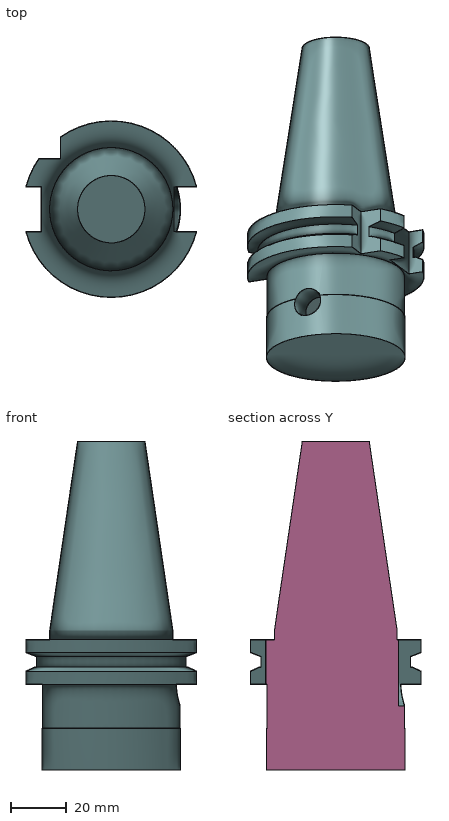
import cadquery as cq

TOTAL_HEIGHT = 118.4
TAPER_TIP_DIAMETER = 24.3
TAPER_DIAMETER = 44.4
TAPER_START = 50.2

FLANGE_DIAMETER = 63.6
FLANGE_BOTTOM = 30.9
FLANGE_TOP = 47.0
GROOVE_DIAMETER = 56.2
GROOVE_FLOOR_WIDTH = 3.8
GROOVE_MOUTH_WIDTH = 6.7
GROOVE_LEDGE = 0.7
GROOVE_CENTER = (FLANGE_BOTTOM + FLANGE_TOP) / 2

BODY_DIAMETER = 49.6
COLLAR_DIAMETER = 50.0
COLLAR_HEIGHT = 15.2
COLLAR_CHAMFER = (COLLAR_DIAMETER - BODY_DIAMETER) / 2

SLOT_WIDTH = 16.1
LEFT_SLOT_FLOOR = 25.2
RIGHT_SLOT_FLOOR = 22.6
RIGHT_SLOT_BOTTOM = 23.2

NOTCH_X = 18.4
NOTCH_Y = 18.2

HOLE_DIAMETER = 10.3
HOLE_CENTER_HEIGHT = 13.0
HOLE_DEPTH = 10.3


def box_between(x_range, y_range, z_range):
    """Axis-aligned box spanning three coordinate ranges."""
    corner = (x_range[0], y_range[0], z_range[0])
    sizes = [high - low for low, high in (x_range, y_range, z_range)]
    return cq.Workplane("XY").box(*sizes, centered=False).translate(corner)


def revolved_blank():
    """Collar, body, grooved flange and taper as one turned profile."""
    collar = COLLAR_DIAMETER / 2
    body = BODY_DIAMETER / 2
    flange = FLANGE_DIAMETER / 2
    groove = GROOVE_DIAMETER / 2
    taper = TAPER_DIAMETER / 2
    profile = [
        (0, 0),
        (collar, 0),
        (collar, COLLAR_HEIGHT - COLLAR_CHAMFER),
        (body, COLLAR_HEIGHT),
        (body, FLANGE_BOTTOM),
        (flange, FLANGE_BOTTOM),
        (flange, GROOVE_CENTER - GROOVE_MOUTH_WIDTH / 2),
        (groove + GROOVE_LEDGE, GROOVE_CENTER - GROOVE_FLOOR_WIDTH / 2),
        (groove, GROOVE_CENTER - GROOVE_FLOOR_WIDTH / 2),
        (groove, GROOVE_CENTER + GROOVE_FLOOR_WIDTH / 2),
        (flange, GROOVE_CENTER + GROOVE_MOUTH_WIDTH / 2),
        (flange, FLANGE_TOP),
        (taper, FLANGE_TOP),
        (taper, TAPER_START),
        (TAPER_TIP_DIAMETER / 2, TOTAL_HEIGHT),
        (0, TOTAL_HEIGHT),
    ]
    return cq.Workplane("XZ").polyline(profile).close().revolve(360, (0, 0), (0, 1))


def left_slot():
    """Square slot through the flange on the -X side."""
    return box_between(
        (-FLANGE_DIAMETER, -LEFT_SLOT_FLOOR),
        (-SLOT_WIDTH / 2, SLOT_WIDTH / 2),
        (FLANGE_BOTTOM, FLANGE_TOP),
    )


def right_slot():
    """Deeper slot on the +X side with a round lower end running into the body below the flange."""
    end_radius = SLOT_WIDTH / 2
    end_center = RIGHT_SLOT_BOTTOM + end_radius
    round_end = (
        cq.Workplane("YZ", origin=(RIGHT_SLOT_FLOOR, 0, end_center))
        .circle(end_radius)
        .extrude(FLANGE_DIAMETER)
    )
    straight = box_between(
        (RIGHT_SLOT_FLOOR, RIGHT_SLOT_FLOOR + FLANGE_DIAMETER),
        (-end_radius, end_radius),
        (end_center, FLANGE_TOP),
    )
    return straight.union(round_end)


def corner_notch():
    """Rectangular notch through the full flange thickness."""
    return box_between(
        (-FLANGE_DIAMETER, -NOTCH_X),
        (NOTCH_Y, FLANGE_DIAMETER),
        (FLANGE_BOTTOM, FLANGE_TOP),
    )


def radial_hole():
    """Blind hole entering the collar from the +Y side."""
    return (
        cq.Workplane("XZ", origin=(0, COLLAR_DIAMETER / 2 - HOLE_DEPTH, HOLE_CENTER_HEIGHT))
        .circle(HOLE_DIAMETER / 2)
        .extrude(-2 * HOLE_DEPTH)
    )


result = revolved_blank()
for cutter in (left_slot(), right_slot(), corner_notch(), radial_hole()):
    result = result.cut(cutter)